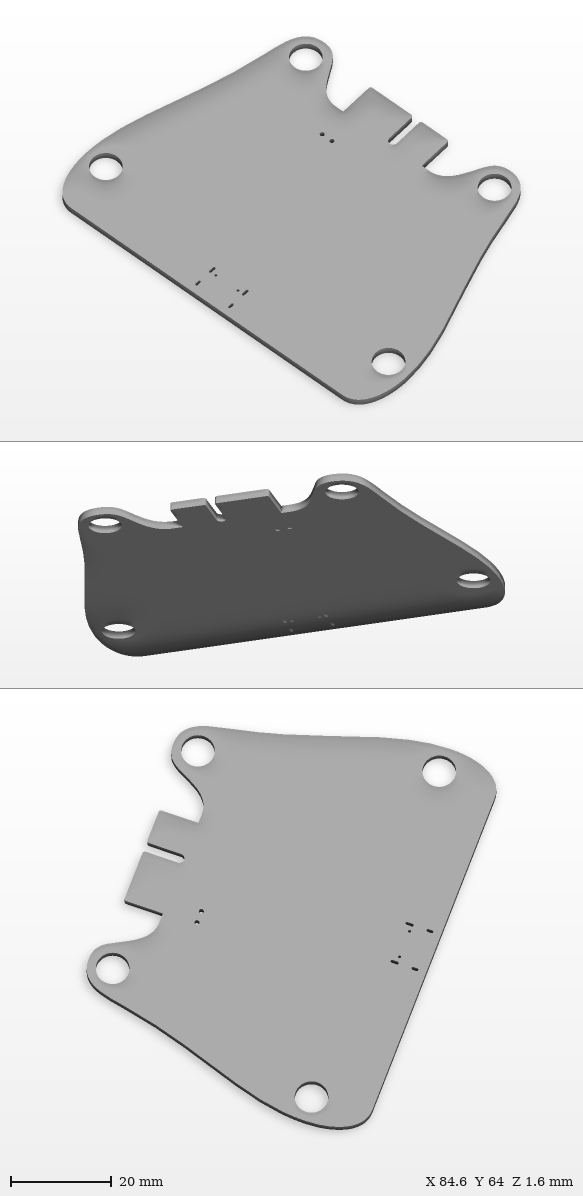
import cadquery as cq

width = 84.59
height = 63.98
thickness = 1.6
half_width = width / 2

bottom_corner_x = 35.5
widest_y = 11.8
shoulder_x, shoulder_y = 31.46, 54.14
ear_top_x = 24.42
ear_flank_x, ear_flank_y = 18.46, 58.45
valley_x = 12.2
valley_y = 53.45

tab_width = 20.6
tab_top_y = 61.7
tab_corner_radius = 0.5
slit_x = 1.92
slit_width = 1.95

mount_diameter = 6.7
upper_mount_x, upper_mount_y = 24.75, 58.82
lower_mount_x, lower_mount_y = 37.07, 12.3

wire_diameter = 1.0
wire_pitch = 2.54
wire_center_x, wire_y = -8.52, 46.45

shell_slot_x = 4.32
shell_slot_width = 0.6
upper_slot_y, upper_slot_length = 6.67, 1.7
lower_slot_y, lower_slot_length = 2.35, 1.4
peg_diameter = 0.6
peg_x, peg_y = 2.89, 6.12


def half_outline():
    """Cubic curves of the +X side, from the bottom edge up to the flat beside the tab.

    Each entry lists the two control points and the end point of one curve.
    """
    return [
        ((40.32, 0), (half_width, 6.08), (half_width, widest_y)),
        ((half_width, 24.84), (34.93, 35.99), (shoulder_x, shoulder_y)),
        ((30.51, 59.09), (29.67, height), (ear_top_x, height)),
        ((20.83, height), (20.0, 61.37), (ear_flank_x, ear_flank_y)),
        ((16.97, 55.61), (15.31, valley_y), (valley_x, valley_y)),
    ]


def mirrored(point):
    return (-point[0], point[1])


def make_plate():
    start = (bottom_corner_x, 0)
    curves = half_outline()
    sketch = cq.Workplane("XY").moveTo(*start)
    for control_1, control_2, end in curves:
        sketch = sketch.bezier([control_1, control_2, end], includeCurrent=True)
    sketch = sketch.lineTo(-valley_x, valley_y)

    curve_starts = [start] + [curve[2] for curve in curves[:-1]]
    for curve, curve_start in zip(reversed(curves), reversed(curve_starts)):
        control_1, control_2, _ = curve
        points = [mirrored(point) for point in (control_2, control_1, curve_start)]
        sketch = sketch.bezier(points, includeCurrent=True)
    return sketch.close().extrude(thickness)


def make_tab():
    root_overlap = 2.0
    bottom_y = valley_y - root_overlap
    tab_length = tab_top_y - bottom_y
    tab = (
        cq.Workplane("XY")
        .center(0, bottom_y + tab_length / 2)
        .rect(tab_width, tab_length)
        .extrude(thickness)
    )
    slit_edge_right = slit_x + slit_width / 2
    slit_edge_left = slit_x - slit_width / 2
    slit_opening = (
        cq.Workplane("XY")
        .moveTo(slit_edge_left, valley_y + slit_width / 2)
        .threePointArc((slit_x, valley_y), (slit_edge_right, valley_y + slit_width / 2))
        .lineTo(slit_edge_right, tab_top_y)
        .lineTo(slit_edge_left, tab_top_y)
        .close()
        .extrude(thickness)
    )
    tab = tab.cut(slit_opening)
    top_corners = cq.selectors.BoxSelector(
        (-tab_width, tab_top_y - tab_corner_radius, 0),
        (tab_width, tab_top_y + tab_corner_radius, thickness),
    )
    return tab.edges("|Z").edges(top_corners).fillet(tab_corner_radius)


def round_holes(points, diameter):
    return cq.Workplane("XY").pushPoints(points).circle(diameter / 2).extrude(thickness)


def shell_slots(y, length):
    points = [(-shell_slot_x, y), (shell_slot_x, y)]
    return cq.Workplane("XY").pushPoints(points).slot2D(length, shell_slot_width, 90).extrude(thickness)


mount_points = [
    (side * x, y)
    for side in (-1, 1)
    for x, y in ((upper_mount_x, upper_mount_y), (lower_mount_x, lower_mount_y))
]
wire_points = [(wire_center_x + side * wire_pitch / 2, wire_y) for side in (-1, 1)]
peg_points = [(side * peg_x, peg_y) for side in (-1, 1)]

openings = [
    round_holes(mount_points, mount_diameter),
    round_holes(wire_points, wire_diameter),
    round_holes(peg_points, peg_diameter),
    shell_slots(upper_slot_y, upper_slot_length),
    shell_slots(lower_slot_y, lower_slot_length),
]

result = make_plate().union(make_tab())
for opening in openings:
    result = result.cut(opening)